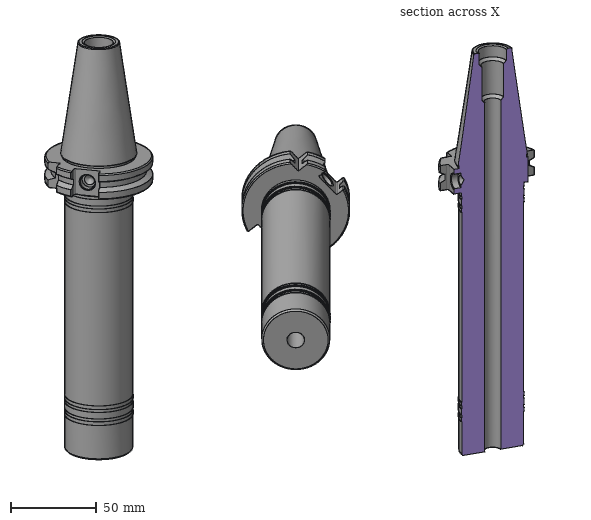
import cadquery as cq
import math


gauge_diameter = 44.5
taper_length = 68.5
taper_ratio = 7 / 24
taper_end_chamfer = 0.5
taper_run_out = 1.5
neck_diameter = 43.5

flange_diameter = 63.5
flange_top = -3.0
flange_bottom = -19.1
flange_edge_chamfer = 0.8
groove_floor_diameter = 56.5
groove_middle = -11.0
groove_floor_width = 3.3
groove_mouth_width = 7.0

slot_width = 16.0
front_slot_floor = 25.0
rear_slot_floor = 22.7
slot_edge_chamfer = 0.8
slot_floor_fillet = 0.8
notch_x = 18.6
notch_y = 18.5

chip_mouth_diameter = 10.0
chip_hole_diameter = 9.0
chip_hole_depth = 4.5
pilot_diameter = 6.0
drill_point_angle = 118

overall_length = 255.2
body_diameter = 40.0
ring_diameter = 40.5
end_ring_width = 2.3
ring_gap = 1.8
middle_ring_width = 4.0
lower_rings_top = -152.6
body_end_chamfer = 1.0

through_bore_diameter = 10.2
mouth_diameter = 17.0
mouth_depth = 7.7
mouth_chamfer_width = 1.3
mouth_chamfer_depth = 0.5
thread_diameter = 13.8
thread_depth = 30.6

body_bottom = taper_length - overall_length
flange_height = flange_top - flange_bottom
flange_radius = flange_diameter / 2


def cylinder(diameter, top, bottom):
    return cq.Workplane("XY").workplane(offset=bottom).circle(diameter / 2).extrude(top - bottom)


def revolve_profile(points):
    return cq.Workplane("XZ").polyline(points).close().revolve(360, (0, 0, 0), (0, 1, 0))


def taper_shank():
    gauge_radius = gauge_diameter / 2
    end_radius = gauge_radius - taper_length * taper_ratio / 2
    base_radius = gauge_radius + taper_run_out * taper_ratio / 2
    cone = revolve_profile(
        [
            (0, -taper_run_out),
            (base_radius, -taper_run_out),
            (end_radius, taper_length),
            (0, taper_length),
        ]
    )
    cone = cone.faces(">Z").chamfer(taper_end_chamfer)
    return cone.union(cylinder(neck_diameter, -taper_run_out, flange_bottom))


def flange():
    disc = cylinder(flange_diameter, flange_top, flange_bottom)
    disc = disc.faces("<Z or >Z").edges().chamfer(flange_edge_chamfer)
    floor_radius = groove_floor_diameter / 2
    floor_half = groove_floor_width / 2
    mouth_half = groove_mouth_width / 2
    groove = revolve_profile(
        [
            (floor_radius, groove_middle - floor_half),
            (flange_radius, groove_middle - mouth_half),
            (flange_radius, groove_middle + mouth_half),
            (floor_radius, groove_middle + floor_half),
        ]
    )
    return disc.cut(groove)


def drive_slot(floor_distance, side):
    """Slot across the rim on side -1 (-Y) or +1 (+Y), with chamfered mouth and filleted floor corners."""
    half_width = slot_width / 2
    rim_y = math.sqrt(flange_radius**2 - half_width**2)
    chamfer_y = rim_y - slot_edge_chamfer
    outside_y = flange_radius
    mouth_half = half_width + outside_y - chamfer_y
    outline = [
        (half_width, side * floor_distance),
        (half_width, side * chamfer_y),
        (mouth_half, side * outside_y),
        (-mouth_half, side * outside_y),
        (-half_width, side * chamfer_y),
        (-half_width, side * floor_distance),
    ]
    slot_base = cq.Workplane("XY").workplane(offset=flange_bottom)
    slot = slot_base.polyline(outline).close().extrude(flange_height)
    floor_face = ">Y" if side < 0 else "<Y"
    return slot.faces(floor_face).edges("|Z").fillet(slot_floor_fillet)


def orientation_notch():
    corner = cq.Workplane("XY").workplane(offset=flange_bottom).center(-notch_x, -notch_y)
    return corner.rect(-flange_radius, -flange_radius, centered=False).extrude(flange_height)


def chip_hole():
    """Flat-bottomed hole along Y with a 45 degree mouth chamfer and a conical drill point in its floor."""
    point_depth = pilot_diameter / 2 / math.tan(math.radians(drill_point_angle / 2))
    profile = [
        (0, 0),
        (chip_mouth_diameter / 2, 0),
        (chip_hole_diameter / 2, (chip_mouth_diameter - chip_hole_diameter) / 2),
        (chip_hole_diameter / 2, chip_hole_depth),
        (pilot_diameter / 2, chip_hole_depth),
        (0, chip_hole_depth + point_depth),
    ]
    hole = cq.Workplane("XY").polyline(profile).close().revolve(360, (0, 0, 0), (0, 1, 0))
    return hole.translate((0, -front_slot_floor, groove_middle))


def body():
    cylinder_body = cylinder(body_diameter, flange_bottom, body_bottom)
    return cylinder_body.faces("<Z").chamfer(body_end_chamfer)


def ring_set(top):
    rings = cq.Workplane("XY")
    for width in (end_ring_width, middle_ring_width, end_ring_width):
        rings = rings.add(cylinder(ring_diameter, top, top - width))
        top -= width + ring_gap
    return rings.combine()


def axial_bore():
    """Through bore stepping down from a chamfered mouth, with a 45 degree cone under each step."""
    through_radius = through_bore_diameter / 2
    thread_radius = thread_diameter / 2
    mouth_radius = mouth_diameter / 2
    mouth_bottom = taper_length - mouth_depth
    thread_bottom = taper_length - thread_depth
    return revolve_profile(
        [
            (0, body_bottom),
            (through_radius, body_bottom),
            (through_radius, thread_bottom - (thread_radius - through_radius)),
            (thread_radius, thread_bottom),
            (thread_radius, mouth_bottom - (mouth_radius - thread_radius)),
            (mouth_radius, mouth_bottom),
            (mouth_radius, taper_length - mouth_chamfer_depth),
            (mouth_radius + mouth_chamfer_width, taper_length),
            (0, taper_length),
        ]
    )


holder_flange = flange().cut(orientation_notch())
holder_flange = holder_flange.cut(drive_slot(front_slot_floor, -1)).cut(drive_slot(rear_slot_floor, 1))

result = taper_shank().union(holder_flange).union(body())
for rings_top in (flange_bottom, lower_rings_top):
    result = result.union(ring_set(rings_top))
result = result.cut(chip_hole()).cut(axial_bore())